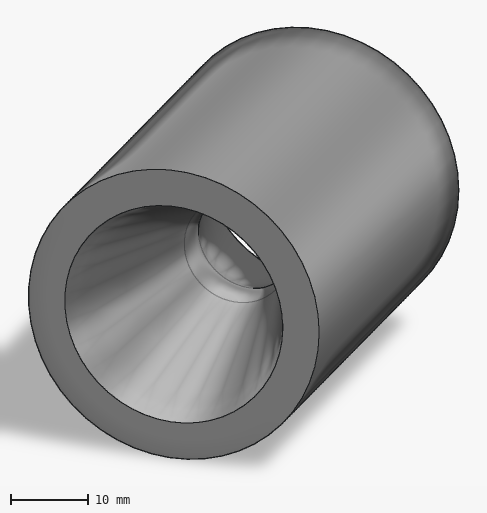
import cadquery as cq

length = 55.0
outer_diameter = 40.0
mouth_diameter = 30.0
cone_end_diameter = 14.4
throat_diameter = 13.2
throat_length = 5.5

outer_radius = outer_diameter / 2
mouth_radius = mouth_diameter / 2
cone_end_radius = cone_end_diameter / 2
throat_radius = throat_diameter / 2

end_y = length / 2
cone_end_y = throat_length / 2

half_section = (
    cq.Workplane("XY")
    .moveTo(mouth_radius, -end_y)
    .lineTo(outer_radius, -end_y)
    .lineTo(outer_radius, end_y)
    .lineTo(mouth_radius, end_y)
    .lineTo(cone_end_radius, cone_end_y)
    .threePointArc((throat_radius, 0), (cone_end_radius, -cone_end_y))
    .close()
)

result = half_section.revolve(360, (0, 0, 0), (0, 1, 0))